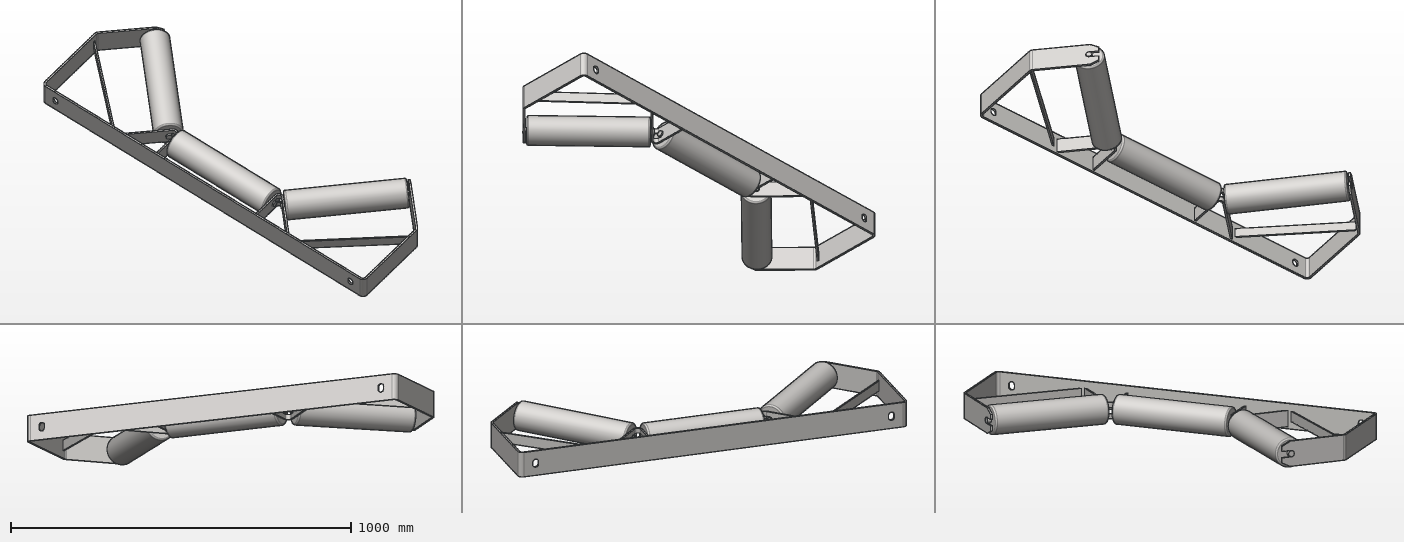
import cadquery as cq
import math

overall_length = 1210.0
overall_depth = 398.0
strip_height = 77.0
strip_thickness = 6.0
bend_radius = 15.0
wall_depth = 255.0
mounting_slot_x = 554.0
mounting_slot_width = 18.0
mounting_slot_height = 25.0

roller_diameter = 88.0
roller_length = 363.0
rim_fillet = 5.0
shaft_diameter = 18.0
shaft_stub = 12.0
roller_drop = 7.0
middle_roller_y = 99.0
side_roller_gap = 5.0
side_roller_below_end = 29.0

shaft_slot_width = 19.0
neck_height = 51.0
taper_length = 25.0

bracket_height = 50.0
bracket_thickness = 5.5
upright_x = 184.0
bracket_roller_gap = 2.0

brace_height = 31.0
brace_thickness = 5.0
brace_wall_y = 243.0
brace_base_x = 333.0

half_length = overall_length / 2
half_height = strip_height / 2
arm_rise = overall_depth - wall_depth
arm_end = (-half_length + arm_rise, overall_depth)
slant = math.sqrt(0.5)
side_axis = cq.Vector(slant, -slant, 0)
arm_direction = cq.Vector(slant, slant, 0)
arm_seat = cq.Vector(*arm_end, 0) - arm_direction * side_roller_below_end
outer_face_offset = strip_thickness + side_roller_gap
side_roller_centre = arm_seat + side_axis * (outer_face_offset + roller_length / 2)
slant_seat = arm_seat + side_axis * (outer_face_offset + roller_length + bracket_roller_gap)
bracket_apex = (-upright_x, slant_seat.y + (-upright_x - slant_seat.x))


def mitred_offset(before, corner, after, thickness):
    """Point one thickness to the left of a path at a corner."""
    along_in = (cq.Vector(*corner) - cq.Vector(*before)).normalized()
    along_out = (cq.Vector(*after) - cq.Vector(*corner)).normalized()
    left_in = cq.Vector(-along_in.y, along_in.x)
    left_out = cq.Vector(-along_out.y, along_out.x)
    bisector = left_in + left_out
    shift = bisector * (thickness / bisector.dot(left_in))
    return (corner[0] + shift.x, corner[1] + shift.y)


def bent_strip(outer, thickness, height):
    """Upright strip whose outer face follows the given points, material on the left."""
    first, last = outer[0], outer[-1]
    extended = (
        [(2 * first[0] - outer[1][0], 2 * first[1] - outer[1][1])]
        + outer
        + [(2 * last[0] - outer[-2][0], 2 * last[1] - outer[-2][1])]
    )
    inner = [mitred_offset(*extended[i:i + 3], thickness) for i in range(len(outer))]
    strip = (
        cq.Workplane("XY")
        .polyline(outer + inner[::-1])
        .close()
        .extrude(height / 2, both=True)
    )
    for corners, radius in ((outer, bend_radius), (inner, bend_radius - thickness)):
        for corner in corners[1:-1]:
            strip = strip.edges(cq.NearestToPointSelector((*corner, 0))).fillet(radius)
    return strip


def leg_plane(seat, along):
    """Plane of a leg: local x up along the leg, local y vertical."""
    return cq.Plane(origin=seat, xDir=along, normal=along.cross(cq.Vector(0, 0, 1)))


def shaft_slot(seat, along, length, depth):
    """U-shaped slot with its round seat at the shaft, open along the leg."""
    plane = leg_plane(seat, along)
    seat_hole = cq.Workplane(plane).circle(shaft_slot_width / 2).extrude(depth, both=True)
    mouth = (
        cq.Workplane(plane)
        .center(length / 2, 0)
        .rect(length, shaft_slot_width)
        .extrude(depth, both=True)
    )
    return seat_hole.union(mouth)


def neck_cuts(taper_start, along, length, depth):
    """Material removed above and below a leg that narrows from strip to neck height."""
    upper = (
        cq.Workplane(leg_plane(taper_start, along))
        .polyline([
            (0, half_height),
            (taper_length, neck_height / 2),
            (length, neck_height / 2),
            (length, half_height),
        ])
        .close()
        .extrude(depth, both=True)
    )
    return upper.union(upper.mirror("XY"))


def make_frame():
    left = [arm_end, (-half_length, wall_depth), (-half_length, 0)]
    right = [(-x, y) for x, y in reversed(left)]
    frame = bent_strip(left + right, strip_thickness, strip_height)

    mounting_slots = (
        cq.Workplane("XZ")
        .pushPoints([(-mounting_slot_x, 0), (mounting_slot_x, 0)])
        .slot2D(mounting_slot_height, mounting_slot_width, 90)
        .extrude(strip_thickness, both=True)
    )
    arm_cuts = shaft_slot(arm_seat, arm_direction, 2 * side_roller_below_end, bend_radius)
    arm_tip = cq.Vector(*arm_end, 0)
    taper_start = arm_tip - arm_direction * taper_length
    arm_cuts = arm_cuts.union(neck_cuts(taper_start, arm_direction, 2 * taper_length, bend_radius))
    return frame.cut(mounting_slots).cut(arm_cuts).cut(arm_cuts.mirror("YZ"))


def make_left_bracket():
    slant_foot = (bracket_apex[0] - bracket_apex[1], 0)
    bracket = bent_strip([(-upright_x, 0), bracket_apex, slant_foot], bracket_thickness, bracket_height)
    base = cq.Workplane("XY").box(overall_length, 2 * strip_thickness, strip_height)
    bracket = bracket.cut(base)

    up = cq.Vector(0, 1, 0)
    upright_seat = cq.Vector(-upright_x, middle_roller_y, 0)
    bend_reach = bracket_apex[1] - middle_roller_y
    slot_depth = 2 * bend_radius
    bracket = bracket.cut(shaft_slot(upright_seat, up, bend_reach, slot_depth))
    bracket = bracket.cut(shaft_slot(slant_seat, arm_direction, bend_reach, slot_depth))
    return bracket.translate((0, 0, -roller_drop))


def make_roller():
    """Roller along X, centred on the origin."""
    tube = (
        cq.Workplane("YZ", origin=(-roller_length / 2, 0, 0))
        .circle(roller_diameter / 2)
        .extrude(roller_length)
    )
    tube = tube.faces("<X or >X").fillet(rim_fillet)
    shaft_length = roller_length + 2 * shaft_stub
    shaft = (
        cq.Workplane("YZ", origin=(-shaft_length / 2, 0, 0))
        .circle(shaft_diameter / 2)
        .extrude(shaft_length)
    )
    return tube.union(shaft)


def make_left_side_roller():
    """Outer end level with the middle of the strip, inner end dropped."""
    tilt = math.degrees(math.asin(roller_drop / roller_length))
    place = side_roller_centre - cq.Vector(0, 0, roller_drop / 2)
    return (
        make_roller()
        .rotate((0, 0, 0), (0, 1, 0), tilt)
        .rotate((0, 0, 0), (0, 0, 1), -45)
        .translate(place)
    )


def make_left_brace():
    wall_x = -half_length + strip_thickness
    run = -brace_base_x - wall_x
    rise = brace_wall_y - strip_thickness
    slope_length = math.hypot(run, rise)
    wall_step = brace_thickness * slope_length / run
    base_step = brace_thickness * slope_length / rise
    return (
        cq.Workplane("XY")
        .polyline([
            (wall_x, brace_wall_y),
            (wall_x, brace_wall_y - wall_step),
            (-brace_base_x - base_step, strip_thickness),
            (-brace_base_x, strip_thickness),
        ])
        .close()
        .extrude(brace_height / 2, both=True)
    )


frame = make_frame()
middle_roller = make_roller().translate((0, middle_roller_y, -roller_drop))

paired_bodies = []
for left_body in (make_left_bracket(), make_left_side_roller(), make_left_brace()):
    paired_bodies.append(left_body.val())
    paired_bodies.append(left_body.mirror("YZ").val())

result = cq.Compound.makeCompound([frame.val(), middle_roller.val(), *paired_bodies])